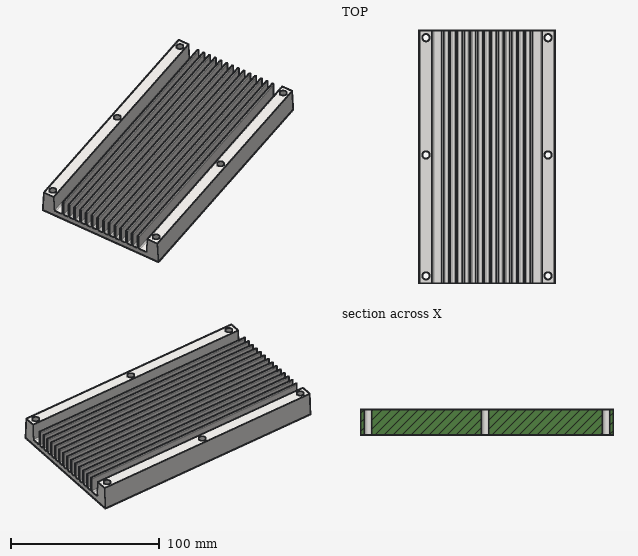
import cadquery as cq
import math

WIDTH = 92.0
LENGTH = 169.93
HEIGHT = 17.37

BASE_THICKNESS = 4.57
RAIL_TOP_WIDTH = 7.9
DRAFT_ANGLE = 3.0
RAIL_ROOT_RADIUS = 0.8

FIN_COUNT = 14
FIN_PITCH = 4.572
FIN_THICKNESS = 1.14
FIN_TOP_Z = 16.1
FIN_ROOT_RADIUS = 0.8

HOLE_DIAMETER = 4.78
HOLE_SPACING_X = 82.0
END_HOLE_Y = 80.0
MIDDLE_HOLE_Y = 1.23

DRAFT_SLOPE = math.tan(math.radians(DRAFT_ANGLE))
RAIL_OUTER_TOP_X = WIDTH / 2 - HEIGHT * DRAFT_SLOPE
RAIL_INNER_TOP_X = RAIL_OUTER_TOP_X - RAIL_TOP_WIDTH
RAIL_INNER_ROOT_X = RAIL_INNER_TOP_X - (HEIGHT - BASE_THICKNESS) * DRAFT_SLOPE


def extrude_along_length(profile):
    """Extrude an XZ-plane profile along Y, centred on the origin."""
    return profile.extrude(LENGTH / 2, both=True)


def make_channel():
    """Base plate with a drafted rail on each side, filleted where they meet."""
    channel = extrude_along_length(
        cq.Workplane("XZ").polyline([
            (-WIDTH / 2, 0),
            (WIDTH / 2, 0),
            (RAIL_OUTER_TOP_X, HEIGHT),
            (RAIL_INNER_TOP_X, HEIGHT),
            (RAIL_INNER_ROOT_X, BASE_THICKNESS),
            (-RAIL_INNER_ROOT_X, BASE_THICKNESS),
            (-RAIL_INNER_TOP_X, HEIGHT),
            (-RAIL_OUTER_TOP_X, HEIGHT),
        ]).close()
    )
    root_edges = cq.selectors.BoxSelector(
        (-RAIL_INNER_TOP_X, -LENGTH, BASE_THICKNESS / 2),
        (RAIL_INNER_TOP_X, LENGTH, HEIGHT / 2),
    )
    return channel.edges("|Y").edges(root_edges).fillet(RAIL_ROOT_RADIUS)


def make_fin(center_x):
    """One fin with a fully rounded tip and concave fillets flaring into the base."""
    half = FIN_THICKNESS / 2
    foot = half + FIN_ROOT_RADIUS
    root_z = BASE_THICKNESS + FIN_ROOT_RADIUS
    tip_z = FIN_TOP_Z - half
    return extrude_along_length(
        cq.Workplane("XZ", origin=(center_x, 0, 0))
        .moveTo(-foot, 0)
        .lineTo(foot, 0)
        .lineTo(foot, BASE_THICKNESS)
        .radiusArc((half, root_z), FIN_ROOT_RADIUS)
        .lineTo(half, tip_z)
        .threePointArc((0, FIN_TOP_Z), (-half, tip_z))
        .lineTo(-half, root_z)
        .radiusArc((-foot, BASE_THICKNESS), FIN_ROOT_RADIUS)
        .close()
    )


def make_mounting_holes():
    """Cutters for the through holes in both rails."""
    centers = [
        (side * HOLE_SPACING_X / 2, y)
        for side in (-1, 1)
        for y in (-END_HOLE_Y, MIDDLE_HOLE_Y, END_HOLE_Y)
    ]
    return cq.Workplane("XY").pushPoints(centers).circle(HOLE_DIAMETER / 2).extrude(HEIGHT)


result = make_channel()
for index in range(FIN_COUNT):
    fin_x = (index - (FIN_COUNT - 1) / 2) * FIN_PITCH
    result = result.union(make_fin(fin_x))
result = result.cut(make_mounting_holes())